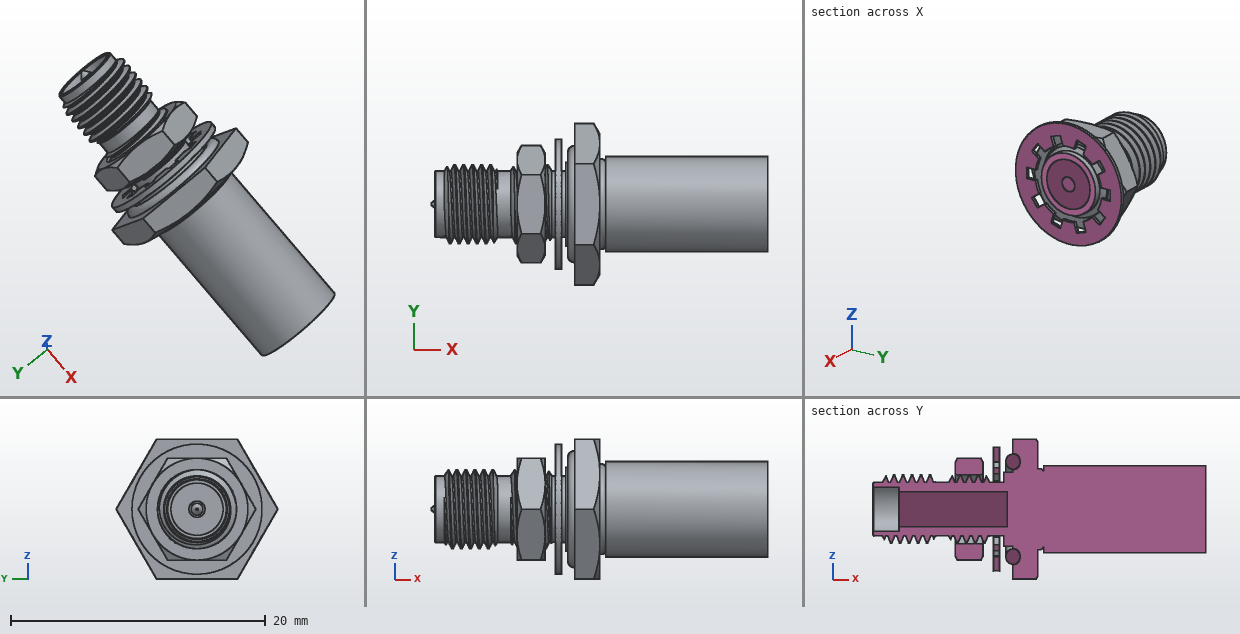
import cadquery as cq
import math


TIP_PROTRUSION = 0.29
OVERALL_LENGTH = 26.45
REAR_END = OVERALL_LENGTH - TIP_PROTRUSION
SOCKET_FLOOR = 2.05
DIELECTRIC_LENGTH = 8.5
NOSE_THREAD = (0.75, 4.93)
NUT_THREAD = (5.95, 9.2)
NUT_FRONT = 6.46
NUT_THICKNESS = 2.21
WASHER_FRONT = 9.47
WASHER_THICKNESS = 0.5
SHOULDER_FRONT = 10.27
FLANGE_FRONT = 10.99
FLANGE_THICKNESS = 1.98
FLANGE_REAR = FLANGE_FRONT + FLANGE_THICKNESS
SLEEVE_FRONT = 13.42

CORE_RADIUS = 2.62
SOCKET_RADIUS = 2.3
RIM_BREAK = 0.08
SHOULDER_RADIUS = 3.3
COLLAR_RADIUS = 3.55
COLLAR_FILLET = 0.3
SLEEVE_RADIUS = 3.76

THREAD_MAJOR_RADIUS = 3.1
THREAD_PITCH = 25.4 / 36
THREAD_CREST_WIDTH = 0.1
THREAD_ROOT_WIDTH = 0.62
THREAD_ROOT_OVERLAP = 0.05
THREAD_END_TAPER = 0.4
THREAD_LEAD_TURNS = 0.6

FLANGE_ACROSS_FLATS = 11.0
NUT_ACROSS_FLATS = 8.0
NUT_CLEARANCE = 0.01
HEX_CHAMFER_ANGLE = math.radians(30)

RING_SECTION_RADIUS = 0.56
RING_OUTER_RADIUS = 4.6
RING_CENTRE_RADIUS = RING_OUTER_RADIUS - RING_SECTION_RADIUS

WASHER_OUTER_RADIUS = 5.11
WASHER_CLEARANCE = 0.08
WASHER_BORE_RADIUS = THREAD_MAJOR_RADIUS + WASHER_CLEARANCE
WASHER_SLOT_RADIUS = 4.0
WASHER_SLOT_WIDTH = 0.9
WASHER_SLOT_COUNT = 10

DIELECTRIC_RADIUS = 2.05
PIN_SHANK_RADIUS = 0.635
PIN_TIP_RADIUS = 0.47
PIN_POINT_RADIUS = 0.08
PIN_POINT_LENGTH = 0.5


def rod(x_start, x_end, radius):
    """Solid cylinder along X."""
    return cq.Workplane("YZ", origin=(x_start, 0, 0)).circle(radius).extrude(x_end - x_start)


def turned(profile):
    """Solid of revolution about X from (x, radius) points."""
    return cq.Workplane("XY").polyline(profile).close().revolve(360, (0, 0, 0), (1, 0, 0))


def hexagon(x_start, thickness, across_flats, chamfer_front):
    """Hexagonal prism with flats facing +/-Z and conically chamfered corners."""
    corner = across_flats / math.sqrt(3)
    face_radius = across_flats / 2
    depth = (corner - face_radius) * math.tan(HEX_CHAMFER_ANGLE)
    x_end = x_start + thickness
    prism = cq.Workplane("YZ", origin=(x_start, 0, 0)).polygon(6, 2 * corner).extrude(thickness)
    envelope_profile = [
        (x_start, 0),
        (x_start, face_radius if chamfer_front else corner),
        (x_start + (depth if chamfer_front else thickness / 2), corner),
        (x_end - depth, corner),
        (x_end, face_radius),
        (x_end, 0),
    ]
    return prism.intersect(turned(envelope_profile))


def thread_ridge(x_start, x_end):
    """Right-handed helical ridge whose ends run out on conical tapers."""
    base_radius = CORE_RADIUS - THREAD_ROOT_OVERLAP
    helix_start = x_start - THREAD_PITCH * THREAD_LEAD_TURNS
    helix_length = x_end - x_start + THREAD_PITCH
    helix = cq.Wire.makeHelix(
        THREAD_PITCH, helix_length, base_radius, cq.Vector(helix_start, 0, 0), cq.Vector(1, 0, 0)
    )
    start_point = helix.startPoint()
    section_plane = cq.Plane(
        origin=(helix_start, 0, 0),
        xDir=(0, start_point.y, start_point.z),
        normal=cq.Vector(1, 0, 0).cross(cq.Vector(0, start_point.y, start_point.z)),
    )
    half_root = THREAD_ROOT_WIDTH / 2
    half_crest = THREAD_CREST_WIDTH / 2
    ridge = (
        cq.Workplane(section_plane)
        .polyline(
            [
                (base_radius, -half_root),
                (THREAD_MAJOR_RADIUS, -half_crest),
                (THREAD_MAJOR_RADIUS, half_crest),
                (base_radius, half_root),
            ]
        )
        .close()
        .sweep(cq.Workplane(helix), isFrenet=True)
    )
    clear_radius = THREAD_MAJOR_RADIUS + THREAD_CREST_WIDTH
    envelope = turned(
        [
            (x_start, 0),
            (x_start, CORE_RADIUS),
            (x_start + THREAD_END_TAPER, clear_radius),
            (x_end - THREAD_END_TAPER, clear_radius),
            (x_end, CORE_RADIUS),
            (x_end, 0),
        ]
    )
    return ridge.intersect(envelope)


def sealing_ring():
    """Torus half seated in the front face of the flange."""
    return (
        cq.Workplane("XY")
        .center(FLANGE_FRONT, RING_CENTRE_RADIUS)
        .circle(RING_SECTION_RADIUS)
        .revolve(360, (-FLANGE_FRONT, -RING_CENTRE_RADIUS, 0), (1 - FLANGE_FRONT, -RING_CENTRE_RADIUS, 0))
    )


def toothed_washer():
    """Flat washer whose bore is notched into internal teeth."""
    x_end = WASHER_FRONT + WASHER_THICKNESS
    washer = rod(WASHER_FRONT, x_end, WASHER_OUTER_RADIUS)
    slot = (
        cq.Workplane("YZ", origin=(WASHER_FRONT, 0, 0))
        .center(WASHER_SLOT_RADIUS / 2, 0)
        .rect(WASHER_SLOT_RADIUS, WASHER_SLOT_WIDTH)
        .extrude(WASHER_THICKNESS)
    )
    for index in range(WASHER_SLOT_COUNT):
        angle = index * 360 / WASHER_SLOT_COUNT
        washer = washer.cut(slot.rotate((0, 0, 0), (1, 0, 0), angle))
    return washer.cut(rod(WASHER_FRONT, x_end, WASHER_BORE_RADIUS))


def hex_nut():
    """Chamfered hexagonal nut clearing the rear thread."""
    nut = hexagon(NUT_FRONT, NUT_THICKNESS, NUT_ACROSS_FLATS, chamfer_front=True)
    return nut.cut(rod(NUT_FRONT, NUT_FRONT + NUT_THICKNESS, THREAD_MAJOR_RADIUS + NUT_CLEARANCE))


def contact_pin():
    """Pointed contact on a thicker shank that fills the dielectric bore."""
    return turned(
        [
            (-TIP_PROTRUSION, 0),
            (-TIP_PROTRUSION, PIN_POINT_RADIUS),
            (PIN_POINT_LENGTH - TIP_PROTRUSION, PIN_TIP_RADIUS),
            (SOCKET_FLOOR, PIN_TIP_RADIUS),
            (SOCKET_FLOOR, PIN_SHANK_RADIUS),
            (SOCKET_FLOOR + DIELECTRIC_LENGTH, PIN_SHANK_RADIUS),
            (SOCKET_FLOOR + DIELECTRIC_LENGTH, 0),
        ]
    )


def dielectric_plug():
    """Insulating sleeve between the pin shank and the housing."""
    x_end = SOCKET_FLOOR + DIELECTRIC_LENGTH
    plug = rod(SOCKET_FLOOR, x_end, DIELECTRIC_RADIUS)
    return plug.cut(rod(SOCKET_FLOOR, x_end, PIN_SHANK_RADIUS))


def connector_housing():
    """Threaded nose, shoulder, hexagonal flange, collar and rear sleeve in one solid."""
    core = rod(0, FLANGE_REAR, CORE_RADIUS).faces("<X").chamfer(RIM_BREAK)
    shoulder = rod(SHOULDER_FRONT, FLANGE_REAR, SHOULDER_RADIUS)
    flange = hexagon(FLANGE_FRONT, FLANGE_THICKNESS, FLANGE_ACROSS_FLATS, chamfer_front=False)
    collar = rod(FLANGE_REAR, SLEEVE_FRONT, COLLAR_RADIUS).faces(">X").edges().fillet(COLLAR_FILLET)
    sleeve = rod(SLEEVE_FRONT, REAR_END, SLEEVE_RADIUS)
    housing = core.union(shoulder).union(flange).union(collar).union(sleeve)
    for x_start, x_end in (NOSE_THREAD, NUT_THREAD):
        housing = housing.union(thread_ridge(x_start, x_end))

    socket = turned(
        [
            (0, 0),
            (0, SOCKET_RADIUS + RIM_BREAK),
            (RIM_BREAK, SOCKET_RADIUS),
            (SOCKET_FLOOR, SOCKET_RADIUS),
            (SOCKET_FLOOR, 0),
        ]
    )
    dielectric_bore = rod(SOCKET_FLOOR, SOCKET_FLOOR + DIELECTRIC_LENGTH, DIELECTRIC_RADIUS)
    return housing.cut(socket).cut(dielectric_bore).cut(sealing_ring())


housing = connector_housing()
pin = contact_pin()
dielectric = dielectric_plug()
nut = hex_nut()
washer = toothed_washer()
ring = sealing_ring()

bodies = [housing, pin, dielectric, nut, washer, ring]
result = cq.Compound.makeCompound([body.solids().val() for body in bodies])